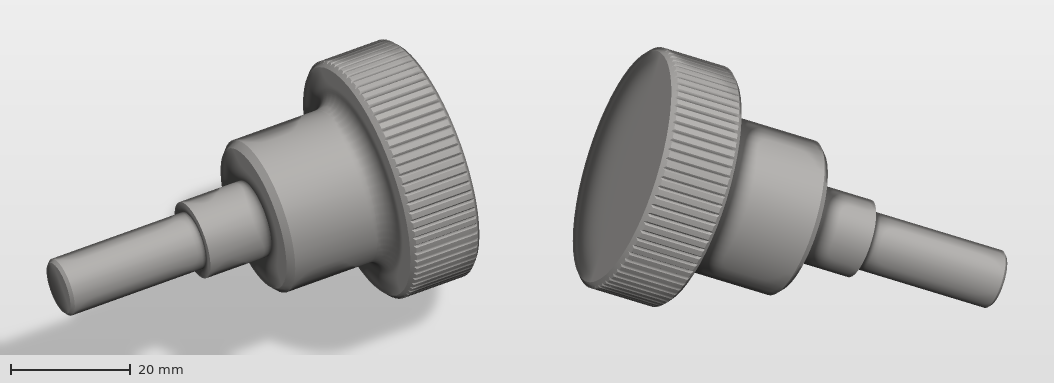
import cadquery as cq
import math


total_length = 68.5
head_length = 12.9
hub_length = 19.25
stud_length = 25.0
knob_length = head_length + hub_length
collar_length = total_length - knob_length - stud_length

head_radius = 42.0 / 2
hub_radius = 27.0 / 2
collar_radius = 13.5 / 2
stud_radius = 10.1 / 2

head_chamfer = 0.8
hub_chamfer = 1.1
stud_chamfer = 0.55
hub_fillet = 2.75

groove_count = 80
groove_depth = 0.35


def make_turned_knob():
    """Chamfered head and hub, joined by a concave fillet, before knurling."""
    fillet_centre_x = hub_radius + hub_fillet
    fillet_centre_y = -head_length - hub_fillet
    fillet_offset = hub_fillet * math.sqrt(0.5)
    fillet_middle = (fillet_centre_x - fillet_offset, fillet_centre_y + fillet_offset)
    return (
        cq.Workplane("XY")
        .moveTo(0, 0)
        .lineTo(head_radius - head_chamfer, 0)
        .lineTo(head_radius, -head_chamfer)
        .lineTo(head_radius, -head_length + head_chamfer)
        .lineTo(head_radius - head_chamfer, -head_length)
        .lineTo(fillet_centre_x, -head_length)
        .threePointArc(fillet_middle, (hub_radius, fillet_centre_y))
        .lineTo(hub_radius, -knob_length + hub_chamfer)
        .lineTo(hub_radius - hub_chamfer, -knob_length)
        .lineTo(0, -knob_length)
        .close()
        .revolve(360, (0, 0, 0), (0, 1, 0))
    )


def make_groove_cutter(angle):
    """V-shaped prism along the full head, at the given angle around the Y axis."""
    floor_radius = head_radius - groove_depth
    cutter_depth = 2 * groove_depth
    outer_radius = floor_radius + cutter_depth
    return (
        cq.Workplane("XZ")
        .moveTo(floor_radius, 0)
        .lineTo(outer_radius, cutter_depth)
        .lineTo(outer_radius, -cutter_depth)
        .close()
        .extrude(head_length)
        .rotate((0, 0, 0), (0, 1, 0), angle)
        .val()
    )


def make_knob():
    """Turned knob with evenly spaced grooves cut into the rim of its head."""
    groove_pitch = 360 / groove_count
    cutters = [make_groove_cutter(i * groove_pitch) for i in range(groove_count)]
    return make_turned_knob().cut(cq.Workplane(cq.Compound.makeCompound(cutters)))


def make_stud():
    """Collar seated on the hub face, with the chamfered stud in front of it."""
    collar = cq.Workplane("XZ", origin=(0, -knob_length, 0)).circle(collar_radius).extrude(collar_length)
    stud = collar.faces("<Y").workplane().circle(stud_radius).extrude(stud_length)
    return stud.faces("<Y").chamfer(stud_chamfer)


knob = make_knob().solids()
stud = make_stud().solids()

result = cq.Compound.makeCompound([knob.val(), stud.val()])